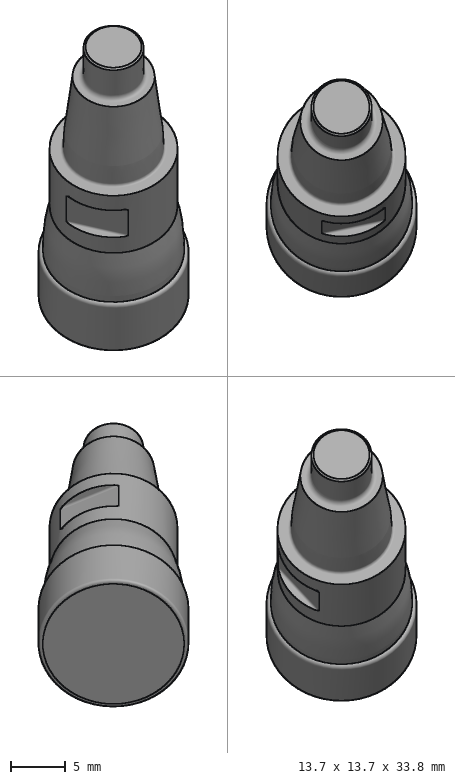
import cadquery as cq
import math

total_height = 33.8

ring_diameter = 13.72
ring_height = 6.3
ring_top_fillet = 0.35
ring_bottom_fillet = 0.27

foot_diameter = 12.9
foot_top_z = 7.1
flare_top_diameter = 11.63
flare_top_z = 12.25

collar_diameter = 11.7
collar_chamfer_height = 0.15
collar_top_z = 20.05
collar_bottom_z = flare_top_z + collar_chamfer_height
flat_half_distance = 5.05
flat_bottom_z = 14.4
flat_top_z = 18.05
flat_floor_fillet = 0.2

relief_base_diameter = 9.2
relief_base_fillet = 0.27
taper_bottom_diameter = 9.0
taper_bottom_z = 22.58
taper_top_diameter = 7.5
taper_top_z = 29.8

cable_diameter = 5.5
cable_root_fillet = 0.47
cable_end_chamfer_radial = 0.2
cable_end_chamfer_height = 0.15

foot_radius = foot_diameter / 2
flare_top_radius = flare_top_diameter / 2
collar_radius = collar_diameter / 2
relief_base_radius = relief_base_diameter / 2
taper_bottom_radius = taper_bottom_diameter / 2
taper_top_radius = taper_top_diameter / 2
cable_radius = cable_diameter / 2
relief_base_z = collar_top_z + relief_base_fillet


def bulge_midpoint(bottom_radius, bottom_z, top_radius, top_z):
    """Middle point of an arc that starts vertical at its bottom and leans inward to its top."""
    inset = bottom_radius - top_radius
    rise = top_z - bottom_z
    arc_radius = (rise**2 + inset**2) / (2 * inset)
    half_angle = math.asin(rise / arc_radius) / 2
    return (
        bottom_radius - arc_radius * (1 - math.cos(half_angle)),
        bottom_z + arc_radius * math.sin(half_angle),
    )


def hollow_fillet_midpoint(inner_radius, floor_z, fillet):
    """Middle point of a concave fillet between a shoulder and the cylinder rising from it."""
    offset = fillet * (1 - math.sqrt(0.5))
    return (inner_radius + offset, floor_z + offset)


def make_revolved_body():
    flare_middle = bulge_midpoint(foot_radius, foot_top_z, flare_top_radius, flare_top_z)
    relief_middle = bulge_midpoint(
        relief_base_radius, relief_base_z, taper_bottom_radius, taper_bottom_z
    )
    relief_fillet_middle = hollow_fillet_midpoint(
        relief_base_radius, collar_top_z, relief_base_fillet
    )
    cable_fillet_middle = hollow_fillet_midpoint(cable_radius, taper_top_z, cable_root_fillet)
    profile = (
        cq.Workplane("XZ")
        .moveTo(0, 0)
        .lineTo(foot_radius, 0)
        .lineTo(foot_radius, foot_top_z)
        .threePointArc(flare_middle, (flare_top_radius, flare_top_z))
        .lineTo(collar_radius, collar_bottom_z)
        .lineTo(collar_radius, collar_top_z)
        .lineTo(relief_base_radius + relief_base_fillet, collar_top_z)
        .threePointArc(relief_fillet_middle, (relief_base_radius, relief_base_z))
        .threePointArc(relief_middle, (taper_bottom_radius, taper_bottom_z))
        .lineTo(taper_top_radius, taper_top_z)
        .lineTo(cable_radius + cable_root_fillet, taper_top_z)
        .threePointArc(cable_fillet_middle, (cable_radius, taper_top_z + cable_root_fillet))
        .lineTo(cable_radius, total_height - cable_end_chamfer_height)
        .lineTo(cable_radius - cable_end_chamfer_radial, total_height)
        .lineTo(0, total_height)
        .close()
    )
    return profile.revolve(360, (0, 0, 0), (0, 1, 0))


def make_flat_cutter(side):
    """Block that cuts one wrench flat, rounded along its floor; side is +1 or -1 along Y."""
    cutter_depth = collar_diameter - flat_half_distance
    cutter = (
        cq.Workplane("XY")
        .box(collar_diameter, cutter_depth, flat_top_z - flat_bottom_z)
        .translate(
            (0, side * (flat_half_distance + cutter_depth / 2), (flat_bottom_z + flat_top_z) / 2)
        )
    )
    floor_face = "<Y" if side > 0 else ">Y"
    return cutter.faces(floor_face).edges("|X").fillet(flat_floor_fillet)


def make_connector_body():
    connector_body = make_revolved_body()
    for side in (-1, 1):
        connector_body = connector_body.cut(make_flat_cutter(side))
    return connector_body


def make_coupling_ring():
    ring = cq.Workplane("XY").circle(ring_diameter / 2).extrude(ring_height)
    ring = ring.faces(">Z").edges().fillet(ring_top_fillet)
    ring = ring.faces("<Z").edges().fillet(ring_bottom_fillet)
    bore = cq.Workplane("XY").circle(foot_radius).extrude(ring_height)
    return ring.cut(bore)


connector_body = make_connector_body()
coupling_ring = make_coupling_ring()

result = cq.Compound.makeCompound([connector_body.val(), coupling_ring.val()])